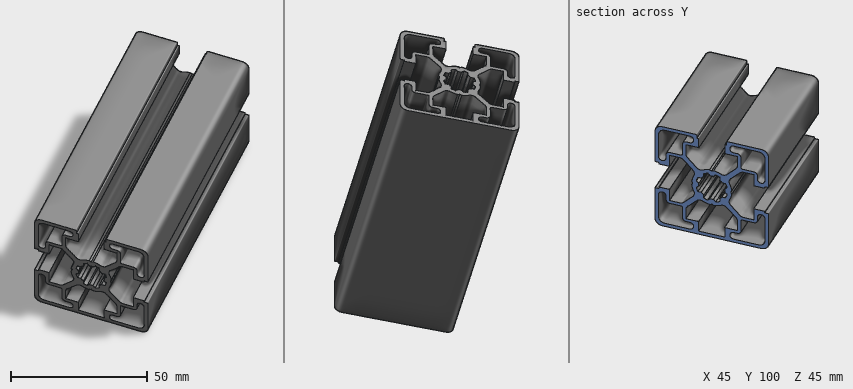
import cadquery as cq
import math

length = 100.0
side = 45.0
corner_radius = 3.0

wall = 1.6
slot_wall = 1.5
web_thickness = 2.3

lip_half_gap = 5.1
mouth_half_width = 5.8
mouth_edge_radius = 0.5
lip_edge_radius = 0.3
lip_inner_height = 16.6
slot_half_width = 10.1
slot_corner_radius = 2.0

finger_end = 7.2
chamber_bend_radius = 1.5
chamber_corner_radius = 2.4
chamber_heel_radius = 0.5

hub_radius = 8.0
hub_blend_radius = 2.0
groove_half_width = 0.8
groove_depth = 0.4
bore_root_radius = 6.2
bore_tip_radius = 5.1
tooth_tip_half_width = 0.7
tooth_root_half_width = 1.6
tooth_count = 8

half_side = side / 2
inner_face = half_side - wall
finger_inner = lip_inner_height + slot_wall
chamber_inner = slot_half_width + slot_wall


def profile_plane():
    """XZ plane at the -Y end; a negative extrusion runs toward +Y."""
    return cq.Workplane("XZ", origin=(0, -length / 2, 0))


def along_length(outline):
    return outline.extrude(-length)


def turned(body, angle):
    return body.rotate((0, 0, 0), (0, 1, 0), angle)


def point_at(radius, angle):
    return (radius * math.cos(angle), radius * math.sin(angle))


def mirrored(point):
    return (-point[0], point[1])


def round_edge(body, corner, radius):
    """Fillet the lengthwise edge at an (x, z) corner."""
    x, z = corner
    return body.edges(cq.NearestToPointSelector((x, 0, z))).fillet(radius)


def slot_void(is_open):
    """T-slot on the +Z side; a closed slot stops at the inner face of the outer wall."""
    web_offset = web_thickness / math.sqrt(2)
    web_start = (slot_half_width, slot_half_width + web_offset)

    lift = web_offset + hub_blend_radius * math.sqrt(2)
    reach = hub_radius + hub_blend_radius
    blend_x = (math.sqrt(2 * reach**2 - lift**2) - lift) / 2
    blend_z = blend_x + lift
    hub_angle = math.atan2(blend_z, blend_x)
    web_angle = -math.pi / 4

    def on_blend(angle):
        x, z = point_at(hub_blend_radius, angle)
        return (blend_x + x, blend_z + z)

    web_end = on_blend(web_angle)
    blend_mid = on_blend((web_angle + hub_angle - math.pi) / 2)
    hub_start = point_at(hub_radius, hub_angle)

    groove_angle = math.acos(groove_half_width / hub_radius)
    groove_edge = point_at(hub_radius, groove_angle)
    hub_mid = point_at(hub_radius, (hub_angle + groove_angle) / 2)

    right_side = [
        (lip_half_gap, inner_face),
        (lip_half_gap, lip_inner_height),
        (slot_half_width, lip_inner_height),
        web_start,
        web_end,
    ]
    if is_open:
        right_side = [(mouth_half_width, half_side), (mouth_half_width, inner_face)] + right_side
    left_side = [mirrored(point) for point in reversed(right_side)]

    outline = (
        profile_plane()
        .polyline(right_side)
        .threePointArc(blend_mid, hub_start)
        .threePointArc(hub_mid, groove_edge)
        .lineTo(0, hub_radius - groove_depth)
        .lineTo(*mirrored(groove_edge))
        .threePointArc(mirrored(hub_mid), mirrored(hub_start))
        .threePointArc(mirrored(blend_mid), left_side[0])
    )
    for point in left_side[1:]:
        outline = outline.lineTo(*point)
    void = along_length(outline.close())
    void = round_edge(void, web_start, slot_corner_radius)
    return round_edge(void, mirrored(web_start), slot_corner_radius)


def chamber_void():
    """L-shaped hollow in the +X +Z corner, with a round-ended finger along each outer wall."""
    finger_radius = (inner_face - finger_inner) / 2
    finger_middle = inner_face - finger_radius
    finger_start = finger_end + finger_radius
    outer_corner = (inner_face, inner_face)
    heel = (chamber_inner, chamber_inner)
    bends = [(finger_inner, chamber_inner), (chamber_inner, finger_inner)]

    void = along_length(
        profile_plane()
        .moveTo(*outer_corner)
        .lineTo(inner_face, finger_start)
        .threePointArc((finger_middle, finger_end), (finger_inner, finger_start))
        .lineTo(*bends[0])
        .lineTo(*heel)
        .lineTo(*bends[1])
        .lineTo(finger_start, finger_inner)
        .threePointArc((finger_end, finger_middle), (finger_start, inner_face))
        .close()
    )
    void = round_edge(void, outer_corner, chamber_corner_radius)
    void = round_edge(void, heel, chamber_heel_radius)
    for bend in bends:
        void = round_edge(void, bend, chamber_bend_radius)
    return void


def bore_void():
    """Round bore with teeth pointing inward."""
    pitch = 2 * math.pi / tooth_count
    tip_half_angle = math.asin(tooth_tip_half_width / bore_tip_radius)
    root_half_angle = math.asin(tooth_root_half_width / bore_root_radius)

    outline = profile_plane().moveTo(*point_at(bore_tip_radius, -tip_half_angle))
    for index in range(tooth_count):
        middle = index * pitch
        outline = (
            outline.threePointArc(
                point_at(bore_tip_radius, middle),
                point_at(bore_tip_radius, middle + tip_half_angle),
            )
            .lineTo(*point_at(bore_root_radius, middle + root_half_angle))
            .threePointArc(
                point_at(bore_root_radius, middle + pitch / 2),
                point_at(bore_root_radius, middle + pitch - root_half_angle),
            )
            .lineTo(*point_at(bore_tip_radius, middle + pitch - tip_half_angle))
        )
    return along_length(outline.close())


def round_slot_mouth(body):
    """Round the convex edges of the stepped mouth of the +Z slot."""
    mouth_edge = (mouth_half_width, half_side)
    lip_edge = (lip_half_gap, inner_face)
    for corner, radius in ((mouth_edge, mouth_edge_radius), (lip_edge, lip_edge_radius)):
        body = round_edge(body, corner, radius)
        body = round_edge(body, mirrored(corner), radius)
    return body


profile = cq.Workplane("XY").box(side, length, side).edges("|Y").fillet(corner_radius)
profile = profile.cut(bore_void())

for angle in (0, 90, 180, 270):
    is_open = angle != 180
    profile = profile.cut(turned(slot_void(is_open), angle))
    profile = profile.cut(turned(chamber_void(), angle))
    if is_open:
        profile = turned(round_slot_mouth(turned(profile, -angle)), angle)

result = profile